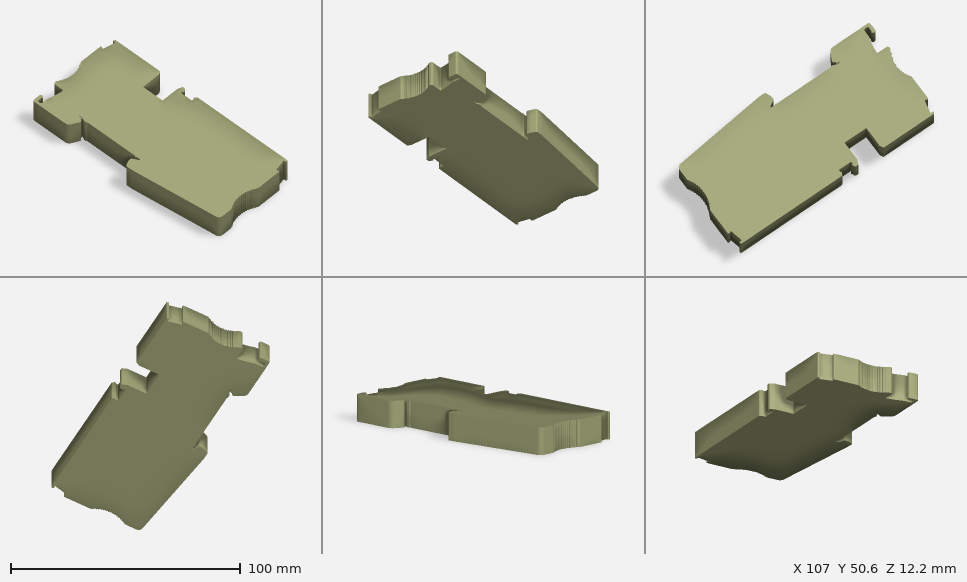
import cadquery as cq
import math

LENGTH = 107.0
DEPTH = 50.6
THICKNESS = 12.2

SHOULDER_Y = 43.5
SHOULDER_STEP = 0.3
HOOK_GAP_TOP_Y = 13.6
RAIL_Y = 7.1
RAIL_BUMP = 0.3

GRIP_RIB_RADIUS = 0.27
GRIP_RIB_PITCH = 1.11
LEFT_GRIP_Y = 23.1
LEFT_GRIP_RADIUS = 12.8
LEFT_GRIP_DEPTH = 2.7
LEFT_GRIP_RIBS = 13
RIGHT_GRIP_Y = 21.5
RIGHT_GRIP_RADIUS = 15.0
RIGHT_GRIP_DEPTH = 2.7
RIGHT_GRIP_RIBS = 15

HOOK = [
    (0, HOOK_GAP_TOP_Y, 1.0),
    (6.0, HOOK_GAP_TOP_Y, 0.5),
    (5.6, 9.6, 42.8),
    (4.4, 5.1, 1.1),
    (4.4, 1.3, 0.6),
    (2.0, 1.3, 0.2),
    (2.0, 3.9, 0),
    (2.4, 4.1, 0),
    (2.1, 5.0, 0.6),
    (0.4, 5.0, 0.7),
    (0.4, 0, 1.0),
]

LEFT_FOOT = [
    (21.4, 0, 2.7),
    (24.2, 5.1, 0.7),
    (23.9, 6.0, 0.3),
    (23.1, 6.2, 0.2),
    (23.1, 7.2, 0),
    (21.5, 7.2, 0),
    (21.5, 7.5, 0),
    (23.5, 7.5, 0),
    (24.0, RAIL_Y, 0),
]

RAIL_SEAT = [
    (24.5, RAIL_Y, 0),
    (24.8, RAIL_Y - RAIL_BUMP, 0),
    (26.1, RAIL_Y - RAIL_BUMP, 0),
    (26.4, RAIL_Y, 0),
    (55.0, RAIL_Y, 0),
    (55.2, RAIL_Y - RAIL_BUMP, 0),
    (55.6, RAIL_Y - RAIL_BUMP, 0),
    (55.9, RAIL_Y, 0),
]

RIGHT_FOOT = [
    (58.3, RAIL_Y, 0.1),
    (58.0, 6.4, 0.3),
    (54.7, 4.7, 0.9),
    (55.0, 2.8, 0.7),
    (56.2, 0, 1.0),
    (59.5, 0, 6.4),
    (LENGTH, 5.5, 2.1),
]

LEFT_END = [
    (0, SHOULDER_Y, 0.3),
    (0.9, SHOULDER_Y, 0),
    (1.2, SHOULDER_Y - SHOULDER_STEP, 0),
    (1.7, SHOULDER_Y - SHOULDER_STEP, 0),
    (3.1, 49.4, 0),
    (2.2, 49.4, 0),
    (1.7, 49.3, 0.3),
    (1.7, DEPTH, 0.5),
]

TOP_EDGE = [
    (29.0, DEPTH, 0.5),
    (29.9, 48.9, 0.3),
    (29.9, 38.8, 0),
    (41.4, 38.8, 0),
    (41.4, 48.4, 0.5),
    (42.4, DEPTH, 0.6),
    (44.1, DEPTH, 0.7),
    (44.6, 49.1, 0.3),
    (44.9, 48.7, 0),
    (44.2, 48.7, 0),
    (44.2, 47.6, 0),
    (50.7, 47.6, 0),
    (50.7, 48.7, 0),
    (50.3, 48.9, 0),
    (50.3, 49.4, 0.2),
    (51.0, DEPTH, 0.6),
]


def mirrored(corners):
    """Corners reflected to the other end."""
    return [(LENGTH - x, y, radius) for x, y, radius in corners]


def corner_arc(before, corner, after):
    """Start, middle and end of the rounding arc at one corner."""
    x, y, radius = corner
    angle_in = math.atan2(before[1] - y, before[0] - x)
    angle_out = math.atan2(after[1] - y, after[0] - x)
    half = math.acos(math.cos(angle_in - angle_out)) / 2
    setback = radius / math.tan(half)
    bisector = math.atan2(
        math.sin(angle_in) + math.sin(angle_out),
        math.cos(angle_in) + math.cos(angle_out),
    )
    reach = radius / math.sin(half) - radius
    start = (x + setback * math.cos(angle_in), y + setback * math.sin(angle_in))
    middle = (x + reach * math.cos(bisector), y + reach * math.sin(bisector))
    end = (x + setback * math.cos(angle_out), y + setback * math.sin(angle_out))
    return start, middle, end


def rounded_plate(corners):
    """Plate with the given closed outline, each corner rounded to its radius."""
    sketch = None
    for i, corner in enumerate(corners):
        before = corners[i - 1]
        after = corners[(i + 1) % len(corners)]
        if corner[2] > 0:
            start, middle, end = corner_arc(before, corner, after)
        else:
            start = corner[:2]
        if sketch is None:
            sketch = cq.Workplane("XY").moveTo(*start)
        else:
            sketch = sketch.lineTo(*start)
        if corner[2] > 0:
            sketch = sketch.threePointArc(middle, end)
    return sketch.close().extrude(THICKNESS)


def rod(x, y, radius):
    """Round bar through the full thickness."""
    return cq.Workplane("XY").center(x, y).circle(radius).extrude(THICKNESS)


def add_grip(plate, center_x, center_y, radius, facing, rib_count):
    """Cut a concave grip and stand ribs on it; facing is +1 toward +X, -1 toward -X."""
    plate = plate.cut(rod(center_x, center_y, radius))
    pitch_angle = GRIP_RIB_PITCH / radius
    for i in range(rib_count):
        angle = (i - (rib_count - 1) / 2) * pitch_angle
        rib_x = center_x + facing * radius * math.cos(angle)
        rib_y = center_y + radius * math.sin(angle)
        plate = plate.union(rod(rib_x, rib_y, GRIP_RIB_RADIUS))
    return plate


bottom_edge = HOOK + LEFT_FOOT + RAIL_SEAT + RIGHT_FOOT
right_end = mirrored(LEFT_END)
outline = bottom_edge + right_end + TOP_EDGE[::-1] + LEFT_END[::-1]
result = rounded_plate(outline)

left_grip_x = LEFT_GRIP_DEPTH - LEFT_GRIP_RADIUS
result = add_grip(result, left_grip_x, LEFT_GRIP_Y, LEFT_GRIP_RADIUS, 1, LEFT_GRIP_RIBS)
right_grip_x = LENGTH - RIGHT_GRIP_DEPTH + RIGHT_GRIP_RADIUS
result = add_grip(result, right_grip_x, RIGHT_GRIP_Y, RIGHT_GRIP_RADIUS, -1, RIGHT_GRIP_RIBS)